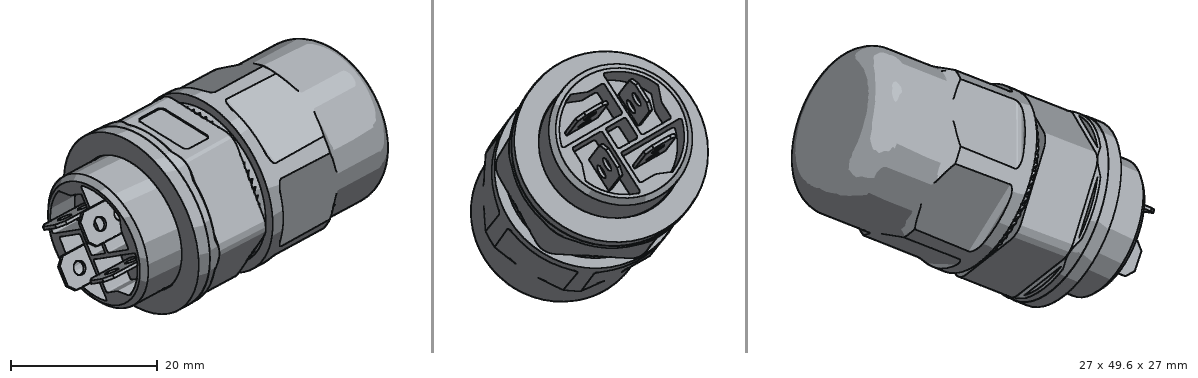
import cadquery as cq
import math


TERMINAL_TIP_Y = -10.8
PLUG_END_Y = -6.95
FLANGE_BACK_Y = 2.1
SEAT_RING_BACK_Y = 3.55
HEX_BACK_Y = 12.6
CAP_FRONT_Y = 13.95
GRIP_FLAT_FRONT_Y = 15.9
SHOULDER_FRONT_Y = 25.8
CAP_BACK_Y = 38.8

PLUG_RADIUS = 20.0 / 2
PLUG_CHAMFER = 0.8
FLANGE_BORE_RADIUS = 20.2 / 2
FLANGE_BORE_DEPTH = 0.5
FLANGE_RADIUS = 27.0 / 2
SEAT_RING_RADIUS = 26.9 / 2
SEAT_RING_CHAMFER = 0.3
NECK_RADIUS = 23.8 / 2
CAP_COLLAR_RADIUS = 26.65 / 2
CAP_GRIP_RADIUS = 26.5 / 2
CAP_REAR_RADIUS = 24.26 / 2
CAP_DOME_RADIUS = 4.0
SHOULDER_FILLET = 1.0

HEX_SIDES = 6
HEX_ACROSS_FLATS = 24.0
HEX_CORNER_RADIUS = 3.0
HEX_FOOT_SIZE = 0.4
CHAMFER_MARGIN = 0.01
LABEL_LENGTH = 9.8
LABEL_WIDTH = 4.5
LABEL_CORNER_RADIUS = 0.7
LABEL_DEPTH = 0.2
LABEL_CENTER_Y = 7.9

FLAT_COUNT = 6
FLAT_APOTHEM = 24.1 / 2
FLAT_END_RADIUS = 0.85

TOOTH_COUNT = 60
TOOTH_HEIGHT = 0.6
TOOTH_DEPTH = 0.2
TOOTH_GAP_FRACTION = 0.7
TOOTH_START_ANGLE = 2.0

INSERT_ANGLE = 33.0
POLE_COUNT = 4
CENTER_POCKET_WIDTH = 3.3
RIB_THICKNESS = 0.62
POCKET_LIMIT_RADIUS = 8.7
POCKET_EDGE_OFFSET = 7.2
POCKET_STEP_START = 0.9
POCKET_STEP_OFFSET = 8.1
POCKET_CORNER_RADIUS = 0.3
POCKET_DEPTH = 4.5

BLADE_WIDTH = 5.1
BLADE_THICKNESS = 0.5
BLADE_TIP_CHAMFER = 1.1
BLADE_CENTER_U = 2.84
BLADE_CENTER_V = -4.3
BLADE_HOLE_DIAMETER = 2.0
BLADE_HOLE_SETBACK = 2.9
BLADE_HOLE_COUNT = 2
BLADE_HOLE_SPACING = 3.7

DIAGONAL = math.sqrt(0.5)
AXIS_START = (0, 0, 0)
AXIS_END = (0, -1, 0)


def turned(body, angle):
    return body.rotate(AXIS_START, AXIS_END, angle)


def ring_of(body, count, start_angle=0.0):
    """Equally spaced copies of a body around the connector axis."""
    copies = cq.Workplane("XY")
    for index in range(count):
        copies = copies.add(turned(body, start_angle + index * 360.0 / count))
    return copies


def cylinder(radius, front_y, back_y):
    return cq.Workplane("XZ", origin=(0, back_y, 0)).circle(radius).extrude(back_y - front_y)


def make_plug():
    plug = cylinder(PLUG_RADIUS, PLUG_END_Y, FLANGE_BACK_Y)
    return plug.faces("<Y").chamfer(PLUG_CHAMFER)


def make_flange():
    flange = cylinder(FLANGE_RADIUS, 0, FLANGE_BACK_Y)
    bore = cylinder(FLANGE_BORE_RADIUS, 0, FLANGE_BORE_DEPTH)
    seat_ring = cylinder(SEAT_RING_RADIUS, FLANGE_BACK_Y, SEAT_RING_BACK_Y)
    seat_ring = seat_ring.faces(">Y").chamfer(SEAT_RING_CHAMFER)
    return flange.cut(bore).union(seat_ring)


def rounded_hex_prism(across_flats, corner_radius, front_y, length):
    """Hexagonal prism with flats facing +Z and -Z, extruded toward +Y."""
    corner_circle = across_flats / math.cos(math.pi / HEX_SIDES)
    plane = cq.Workplane("XZ", origin=(0, front_y, 0))
    prism = plane.polygon(HEX_SIDES, corner_circle).extrude(-length)
    return prism.edges("|Y").fillet(corner_radius)


def make_hex_foot():
    """Sloped foot between the hexagon and the seat ring, trimmed at the ring's rim."""
    front_y = SEAT_RING_BACK_Y - SEAT_RING_CHAMFER
    height = SEAT_RING_CHAMFER + HEX_FOOT_SIZE
    foot = rounded_hex_prism(HEX_ACROSS_FLATS + 2 * height, HEX_CORNER_RADIUS + height, front_y, height)
    foot = foot.faces(">Y").chamfer(height - CHAMFER_MARGIN)
    return foot.intersect(cylinder(SEAT_RING_RADIUS, front_y, front_y + height))


def make_hex_body():
    length = HEX_BACK_Y - FLANGE_BACK_Y
    body = rounded_hex_prism(HEX_ACROSS_FLATS, HEX_CORNER_RADIUS, FLANGE_BACK_Y, length)
    label = (
        cq.Workplane("XY", origin=(0, LABEL_CENTER_Y, HEX_ACROSS_FLATS / 2))
        .rect(LABEL_LENGTH, LABEL_WIDTH)
        .extrude(-LABEL_DEPTH)
        .edges("|Z")
        .fillet(LABEL_CORNER_RADIUS)
    )
    return body.union(make_hex_foot()).cut(label)


def make_neck():
    neck = cylinder(NECK_RADIUS, HEX_BACK_Y, CAP_FRONT_Y)
    gap_width = TOOTH_GAP_FRACTION * 2 * math.pi * NECK_RADIUS / TOOTH_COUNT
    gap = (
        cq.Workplane("XY", origin=(0, HEX_BACK_Y, NECK_RADIUS - TOOTH_DEPTH))
        .polyline([(0, 0), (gap_width, 0), (0, TOOTH_HEIGHT)])
        .close()
        .extrude(2 * TOOTH_DEPTH)
    )
    return neck.cut(ring_of(gap, TOOTH_COUNT, TOOTH_START_ANGLE).combine())


def make_cap():
    half_cone_angle = math.pi / 8
    cone_corner_y = SHOULDER_FRONT_Y + CAP_GRIP_RADIUS - CAP_REAR_RADIUS
    fillet_center_r = CAP_REAR_RADIUS + SHOULDER_FILLET
    fillet_center_y = cone_corner_y + SHOULDER_FILLET * math.tan(half_cone_angle)
    cone_back = (
        fillet_center_r - SHOULDER_FILLET * DIAGONAL,
        fillet_center_y - SHOULDER_FILLET * DIAGONAL,
    )
    shoulder_arc_middle = (
        fillet_center_r - SHOULDER_FILLET * math.cos(half_cone_angle),
        fillet_center_y - SHOULDER_FILLET * math.sin(half_cone_angle),
    )
    dome_start_y = CAP_BACK_Y - CAP_DOME_RADIUS
    dome_arc_middle = (
        CAP_REAR_RADIUS - CAP_DOME_RADIUS * (1 - DIAGONAL),
        dome_start_y + CAP_DOME_RADIUS * DIAGONAL,
    )
    cap = (
        cq.Workplane("XY")
        .moveTo(0, CAP_FRONT_Y)
        .lineTo(CAP_COLLAR_RADIUS, CAP_FRONT_Y)
        .lineTo(CAP_GRIP_RADIUS, SHOULDER_FRONT_Y)
        .lineTo(*cone_back)
        .threePointArc(shoulder_arc_middle, (CAP_REAR_RADIUS, fillet_center_y))
        .lineTo(CAP_REAR_RADIUS, dome_start_y)
        .threePointArc(dome_arc_middle, (CAP_REAR_RADIUS - CAP_DOME_RADIUS, CAP_BACK_Y))
        .lineTo(0, CAP_BACK_Y)
        .close()
        .revolve(360, (0, 0), (0, 1))
    )
    return cap.cut(ring_of(make_flat_cutter(), FLAT_COUNT).combine())


def make_flat_cutter():
    """Removes everything outside one grip flat, leaving a rounded step to the front collar."""
    side = 2 * FLAT_APOTHEM * math.tan(math.pi / FLAT_COUNT)
    arc_middle = (
        FLAT_APOTHEM + FLAT_END_RADIUS * (1 - DIAGONAL),
        GRIP_FLAT_FRONT_Y + FLAT_END_RADIUS * (1 - DIAGONAL),
    )
    return (
        cq.Workplane("XY")
        .moveTo(FLAT_APOTHEM, CAP_BACK_Y)
        .lineTo(FLAT_APOTHEM, GRIP_FLAT_FRONT_Y + FLAT_END_RADIUS)
        .threePointArc(arc_middle, (FLAT_APOTHEM + FLAT_END_RADIUS, GRIP_FLAT_FRONT_Y))
        .lineTo(FLANGE_RADIUS, GRIP_FLAT_FRONT_Y)
        .lineTo(FLANGE_RADIUS, CAP_BACK_Y)
        .close()
        .extrude(side / 2, both=True)
    )


def make_terminal_pocket():
    """One arm of the pinwheel of pockets in the plug end."""
    inner_u = -CENTER_POCKET_WIDTH / 2
    inner_v = -CENTER_POCKET_WIDTH / 2 - RIB_THICKNESS
    outer_u = math.sqrt(POCKET_LIMIT_RADIUS**2 - inner_v**2)
    step_u = math.sqrt(POCKET_LIMIT_RADIUS**2 - POCKET_STEP_OFFSET**2)
    arc_middle = (POCKET_LIMIT_RADIUS * DIAGONAL, -POCKET_LIMIT_RADIUS * DIAGONAL)
    return (
        cq.Workplane("XZ", origin=(0, PLUG_END_Y, 0))
        .moveTo(inner_u, inner_v)
        .lineTo(outer_u, inner_v)
        .threePointArc(arc_middle, (step_u, -POCKET_STEP_OFFSET))
        .lineTo(POCKET_STEP_START, -POCKET_EDGE_OFFSET)
        .lineTo(inner_u, -POCKET_EDGE_OFFSET)
        .close()
        .extrude(-POCKET_DEPTH)
        .edges("|Y")
        .fillet(POCKET_CORNER_RADIUS)
    )


def make_center_pocket():
    return (
        cq.Workplane("XZ", origin=(0, PLUG_END_Y, 0))
        .rect(CENTER_POCKET_WIDTH, CENTER_POCKET_WIDTH)
        .extrude(-POCKET_DEPTH)
        .edges("|Y")
        .fillet(POCKET_CORNER_RADIUS)
    )


def make_blade():
    """Flat terminal standing on its pocket floor, with a chamfered tip and round holes."""
    root_y = PLUG_END_Y + POCKET_DEPTH
    length = root_y - TERMINAL_TIP_Y
    blade = (
        cq.Workplane("XY")
        .box(BLADE_WIDTH, length, BLADE_THICKNESS)
        .translate((BLADE_CENTER_U, root_y - length / 2, BLADE_CENTER_V))
    )
    blade = blade.faces("<Y").edges("|Z").chamfer(BLADE_TIP_CHAMFER)
    for index in range(BLADE_HOLE_COUNT):
        hole_y = TERMINAL_TIP_Y + BLADE_HOLE_SETBACK + index * BLADE_HOLE_SPACING
        hole = (
            cq.Workplane("XY", origin=(BLADE_CENTER_U, hole_y, BLADE_CENTER_V))
            .circle(BLADE_HOLE_DIAMETER / 2)
            .extrude(BLADE_THICKNESS, both=True)
        )
        blade = blade.cut(hole)
    return blade


housing = make_plug().union(make_flange()).union(make_hex_body()).union(make_neck()).union(make_cap())
housing = housing.cut(turned(make_center_pocket(), INSERT_ANGLE))
housing = housing.cut(ring_of(make_terminal_pocket(), POLE_COUNT, INSERT_ANGLE).combine())
result = housing.union(ring_of(make_blade(), POLE_COUNT, INSERT_ANGLE).combine())